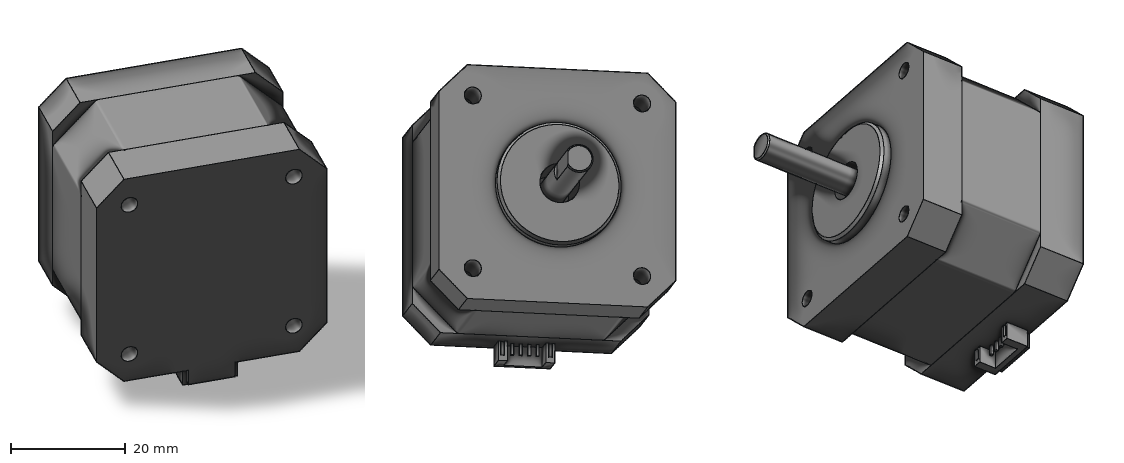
import cadquery as cq


body_width = 42.0
front_cap_length = 8.1
stator_length = 16.6
rear_cap_length = 9.0
cap_corner_cut = 5.0
stator_corner_cut = 8.0
stator_edge_radius = 1.0

stator_start = front_cap_length
rear_cap_start = stator_start + stator_length
body_length = rear_cap_start + rear_cap_length
body_bottom = -body_width / 2

screw_hole_diameter = 3.0
screw_spacing_y = 30.0
screw_spacing_z = 31.0

boss_diameter = 22.0
boss_height = 2.0
boss_chamfer = 0.5
bore_diameter = 7.0

shaft_diameter = 5.0
shaft_reach = 20.0
shaft_chamfer = 0.25
flat_length = 10.0
flat_depth = 0.5

connector_width = 10.0
connector_height = 3.5
connector_length = 4.3
connector_back_length = 0.9
connector_back_width = 8.5
connector_back_height = 3.0
connector_start = body_length - connector_back_length - connector_length
cavity_width = 6.8
cavity_depth = 3.3
slot_width = 0.6
slot_height = 2.5
slot_depth = 0.5
slot_spacing = 8.5
pin_count = 4
pin_pitch = 1.5
pin_size = 0.5
pin_height = 2.0


def disc(diameter, start, end):
    """Cylinder on the motor axis between two X positions."""
    return cq.Workplane("YZ", origin=(start, 0, 0)).circle(diameter / 2).extrude(end - start)


def screw_holes():
    return (
        cq.Workplane("YZ")
        .rect(screw_spacing_y, screw_spacing_z, forConstruction=True)
        .vertices()
        .circle(screw_hole_diameter / 2)
        .extrude(body_length)
    )


def housing_section(start, length, corner_cut):
    """Square block with its four long edges cut at 45 degrees."""
    return (
        cq.Workplane("YZ", origin=(start, 0, 0))
        .rect(body_width, body_width)
        .extrude(length)
        .edges("|X")
        .chamfer(corner_cut)
    )


def hanging_block(start, length, center_y, width, height):
    """Box that hangs from the underside of the rear cap."""
    return (
        cq.Workplane("XY")
        .box(length, width, height, centered=(False, True, False))
        .translate((start, center_y, body_bottom - height))
    )


def make_front_cap():
    cap = housing_section(0, front_cap_length, cap_corner_cut).cut(screw_holes())
    boss = disc(boss_diameter, -boss_height, 0).faces("<X").chamfer(boss_chamfer)
    bore = disc(bore_diameter, -boss_height, front_cap_length)
    return cap.union(boss).cut(bore)


def make_stator():
    block = housing_section(stator_start, stator_length, stator_corner_cut)
    return block.edges("|X").fillet(stator_edge_radius).cut(screw_holes())


def make_connector():
    connector = hanging_block(connector_start, connector_length, 0, connector_width, connector_height)
    connector = connector.cut(
        hanging_block(connector_start, cavity_depth, 0, cavity_width, connector_height)
    )
    for side in (-1, 1):
        slot_y = side * slot_spacing / 2
        connector = connector.cut(
            hanging_block(connector_start, slot_depth, slot_y, slot_width, slot_height)
        )
    back_start = connector_start + connector_length
    return connector.union(
        hanging_block(back_start, connector_back_length, 0, connector_back_width, connector_back_height)
    )


def make_rear_cap():
    """Rear cap in one piece with the connector and its pins."""
    cap = housing_section(rear_cap_start, rear_cap_length, cap_corner_cut).cut(screw_holes())
    cap = cap.union(make_connector())
    pin_start = connector_start + (cavity_depth - pin_size) / 2
    for index in range(pin_count):
        pin_y = (index - (pin_count - 1) / 2) * pin_pitch
        cap = cap.union(hanging_block(pin_start, pin_size, pin_y, pin_size, pin_height))
    return cap


def make_shaft():
    shaft = disc(shaft_diameter, -shaft_reach, stator_start).faces("<X").chamfer(shaft_chamfer)
    flat_cut = (
        cq.Workplane("XY")
        .box(flat_length, flat_depth, shaft_diameter, centered=(False, False, True))
        .translate((-shaft_reach, shaft_diameter / 2 - flat_depth, 0))
    )
    return shaft.cut(flat_cut)


front_cap = make_front_cap()
stator = make_stator()
rear_cap = make_rear_cap()
shaft = make_shaft()

result = cq.Compound.makeCompound([front_cap.val(), stator.val(), rear_cap.val(), shaft.val()])